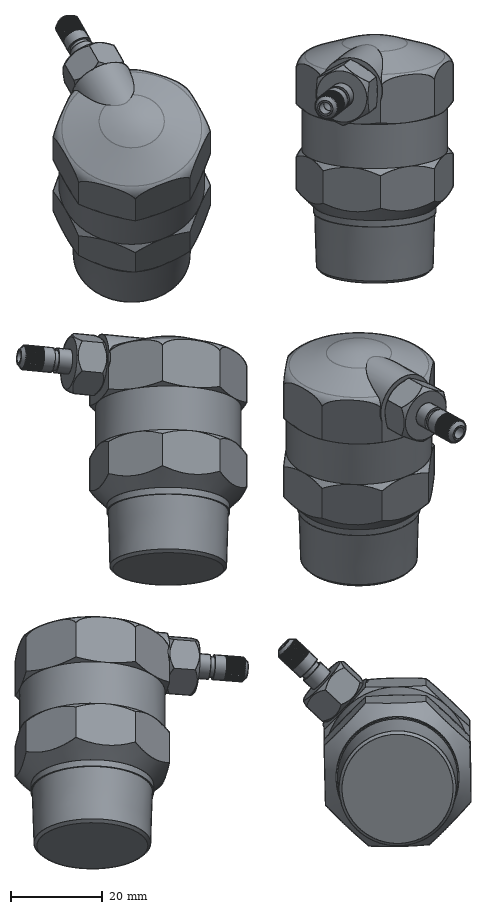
import cadquery as cq
import math

ACROSS_FLATS = 32.0
BAND_RADIUS = ACROSS_FLATS / 2
OCTAGON_SIDES = 8
CORNER_RADIUS = BAND_RADIUS / math.cos(math.pi / OCTAGON_SIDES)
STUB_HEIGHT = 13.1
STUB_TOP_RADIUS = 13.22
STUB_TAPER = 1 / 32
STUB_CHAMFER = 0.65
COLLAR_RADIUS = 13.5
COLLAR_HEIGHT = 1.5
LOWER_OCTAGON_HEIGHT = 10.0
BAND_HEIGHT = 10.0

COLLAR_TOP = STUB_HEIGHT + COLLAR_HEIGHT
LOWER_FLAT_BOTTOM = COLLAR_TOP + BAND_RADIUS - COLLAR_RADIUS
BAND_BOTTOM = LOWER_FLAT_BOTTOM + LOWER_OCTAGON_HEIGHT
BAND_TOP = BAND_BOTTOM + BAND_HEIGHT

BONNET_RADIUS = 17.4
BONNET_CHAMFER_ANGLE = math.radians(30)
CONE_SLOPE = math.radians(20)
SHOULDER_TOP_RADIUS = 15.35
SHOULDER_TOP = 48.3
CROWN_EDGE_RADIUS = 7.15
CROWN_EDGE = SHOULDER_TOP + (SHOULDER_TOP_RADIUS - CROWN_EDGE_RADIUS) * math.tan(CONE_SLOPE)
CROWN_SPHERE_RADIUS = CROWN_EDGE_RADIUS / math.sin(CONE_SLOPE)
CROWN_CENTER = CROWN_EDGE - CROWN_SPHERE_RADIUS * math.cos(CONE_SLOPE)
SHOULDER_ROUND = (BONNET_RADIUS - SHOULDER_TOP_RADIUS) / (1 - math.sin(CONE_SLOPE))

OUTLET_HEIGHT = 45.07
OUTLET_RADIUS = 7.0
NUT_ACROSS_FLATS = 12.0
NUT_SIDES = 6
NUT_CORNER_RADIUS = NUT_ACROSS_FLATS / 2 / math.cos(math.pi / NUT_SIDES)
NUT_LENGTH = 7.0
NUT_FACE_RADIUS = 5.8
NUT_CHAMFER = NUT_CORNER_RADIUS - NUT_FACE_RADIUS
NUT_OUTER_X = -BAND_RADIUS - NUT_LENGTH

STEM_OFFSET = 0.3
STEM_HEIGHT = OUTLET_HEIGHT + STEM_OFFSET
STEM_RADIUS = 5.5 / 2
STEM_LENGTH = 11.5
STEM_CHAMFER = 1.0
NECK_RADIUS = 4.52 / 2
NECK_START = 3.0
NECK_WIDTH = 1.0
BORE_RADIUS = 2.7 / 2
BORE_DEPTH = 3.0
DRILL_HALF_ANGLE = math.radians(59)

KNURL_LENGTH = 5.0
KNURL_COUNT = 40
KNURL_DEPTH = 0.25
KNURL_OVERCUT = 0.05
KNURL_HALF_WIDTH = 0.17


def octagon(bottom, top):
    """Octagonal prism with flats facing +-X and +-Y."""
    return (
        cq.Workplane("XY", origin=(0, 0, bottom))
        .transformed(rotate=(0, 0, 180 / OCTAGON_SIDES))
        .polygon(OCTAGON_SIDES, 2 * CORNER_RADIUS)
        .extrude(top - bottom)
    )


def revolve_z(profile):
    """Turn a closed (radius, z) profile around the Z axis."""
    return profile.close().revolve(360, (0, 0, 0), (0, 1, 0))


def along_x(points, axis_height):
    """Turn (x, radius) points around an axis parallel to X."""
    plane = cq.Workplane("XZ", origin=(0, 0, axis_height))
    return plane.polyline(points).close().revolve(360, (0, 0, 0), (1, 0, 0))


def make_stub():
    """Tapered stub with a chamfered end, topped by the collar."""
    chamfer_top_radius = STUB_TOP_RADIUS - (STUB_HEIGHT - STUB_CHAMFER) * STUB_TAPER
    profile = cq.Workplane("XZ").polyline([
        (0, 0),
        (chamfer_top_radius - STUB_CHAMFER, 0),
        (chamfer_top_radius, STUB_CHAMFER),
        (STUB_TOP_RADIUS, STUB_HEIGHT),
        (COLLAR_RADIUS, STUB_HEIGHT),
        (COLLAR_RADIUS, COLLAR_TOP),
        (0, COLLAR_TOP),
    ])
    return revolve_z(profile)


def make_lower_octagon():
    """Octagon trimmed by 45 degree cones at both ends."""
    cone_growth = LOWER_FLAT_BOTTOM - COLLAR_TOP
    wide_radius = BAND_RADIUS + cone_growth
    envelope = revolve_z(cq.Workplane("XZ").polyline([
        (0, COLLAR_TOP),
        (COLLAR_RADIUS, COLLAR_TOP),
        (wide_radius, LOWER_FLAT_BOTTOM + cone_growth),
        (wide_radius, BAND_BOTTOM - cone_growth),
        (BAND_RADIUS, BAND_BOTTOM),
        (0, BAND_BOTTOM),
    ]))
    return octagon(COLLAR_TOP, BAND_BOTTOM).intersect(envelope)


def make_band():
    """Round band between the two octagons."""
    return cq.Workplane("XY", origin=(0, 0, BAND_BOTTOM)).circle(BAND_RADIUS).extrude(BAND_HEIGHT)


def make_bonnet():
    """Upper octagon with the chamfered foot, rounded shoulder, cone and crown."""
    chamfer_rise = (BONNET_RADIUS - BAND_RADIUS) * math.tan(BONNET_CHAMFER_ANGLE)
    round_center_radius = BONNET_RADIUS - SHOULDER_ROUND
    round_center = SHOULDER_TOP - SHOULDER_ROUND * math.cos(CONE_SLOPE)
    round_mid_angle = (math.pi / 2 - CONE_SLOPE) / 2
    round_mid = (
        round_center_radius + SHOULDER_ROUND * math.cos(round_mid_angle),
        round_center + SHOULDER_ROUND * math.sin(round_mid_angle),
    )
    crown_top = CROWN_CENTER + CROWN_SPHERE_RADIUS
    crown_mid = (
        CROWN_SPHERE_RADIUS * math.sin(CONE_SLOPE / 2),
        CROWN_CENTER + CROWN_SPHERE_RADIUS * math.cos(CONE_SLOPE / 2),
    )
    envelope = revolve_z(
        cq.Workplane("XZ")
        .moveTo(0, BAND_TOP)
        .lineTo(BAND_RADIUS, BAND_TOP)
        .lineTo(BONNET_RADIUS, BAND_TOP + chamfer_rise)
        .lineTo(BONNET_RADIUS, round_center)
        .threePointArc(round_mid, (SHOULDER_TOP_RADIUS, SHOULDER_TOP))
        .lineTo(CROWN_EDGE_RADIUS, CROWN_EDGE)
        .threePointArc(crown_mid, (0, crown_top))
    )
    return octagon(BAND_TOP, crown_top).intersect(envelope)


def make_outlet():
    """Round boss running from the bonnet flat into the body."""
    return (
        cq.Workplane("YZ", origin=(-BAND_RADIUS, 0, OUTLET_HEIGHT))
        .circle(OUTLET_RADIUS)
        .extrude(BAND_RADIUS)
    )


def make_nut():
    """Hexagon nut with corners up and down, chamfered at both ends."""
    hexagon = (
        cq.Workplane("YZ", origin=(NUT_OUTER_X, 0, OUTLET_HEIGHT))
        .transformed(rotate=(0, 0, 90))
        .polygon(NUT_SIDES, 2 * NUT_CORNER_RADIUS)
        .extrude(NUT_LENGTH)
    )
    envelope = along_x([
        (NUT_OUTER_X, 0),
        (NUT_OUTER_X, NUT_FACE_RADIUS),
        (NUT_OUTER_X + NUT_CHAMFER, NUT_CORNER_RADIUS),
        (-BAND_RADIUS - NUT_CHAMFER, NUT_CORNER_RADIUS),
        (-BAND_RADIUS, NUT_FACE_RADIUS),
        (-BAND_RADIUS, 0),
    ], OUTLET_HEIGHT)
    return hexagon.intersect(envelope)


def make_stem():
    """Stem with a neck groove, chamfered tip, drilled bore and straight knurl."""
    tip = NUT_OUTER_X - STEM_LENGTH
    neck_inner = NUT_OUTER_X - NECK_START
    neck_outer = neck_inner - NECK_WIDTH
    bore_end = tip + BORE_DEPTH
    drill_point = bore_end + BORE_RADIUS / math.tan(DRILL_HALF_ANGLE)
    stem = along_x([
        (drill_point, 0),
        (bore_end, BORE_RADIUS),
        (tip, BORE_RADIUS),
        (tip, STEM_RADIUS - STEM_CHAMFER),
        (tip + STEM_CHAMFER, STEM_RADIUS),
        (neck_outer, STEM_RADIUS),
        (neck_outer, NECK_RADIUS),
        (neck_inner, NECK_RADIUS),
        (neck_inner, STEM_RADIUS),
        (NUT_OUTER_X, STEM_RADIUS),
        (NUT_OUTER_X, 0),
    ], STEM_HEIGHT)
    cutter = (
        cq.Workplane("YZ", origin=(tip, 0, STEM_HEIGHT))
        .polyline([
            (0, STEM_RADIUS - KNURL_DEPTH),
            (KNURL_HALF_WIDTH, STEM_RADIUS + KNURL_OVERCUT),
            (-KNURL_HALF_WIDTH, STEM_RADIUS + KNURL_OVERCUT),
        ])
        .close()
        .extrude(KNURL_LENGTH)
        .val()
    )
    axis_start = cq.Vector(0, 0, STEM_HEIGHT)
    axis_end = cq.Vector(1, 0, STEM_HEIGHT)
    grooves = [
        cutter.rotate(axis_start, axis_end, 360 * index / KNURL_COUNT)
        for index in range(KNURL_COUNT)
    ]
    return stem.cut(cq.Workplane(cq.Compound.makeCompound(grooves)))


body = make_stub().union(make_lower_octagon()).union(make_band()).union(make_bonnet())
result = body.union(make_outlet()).union(make_nut()).union(make_stem())